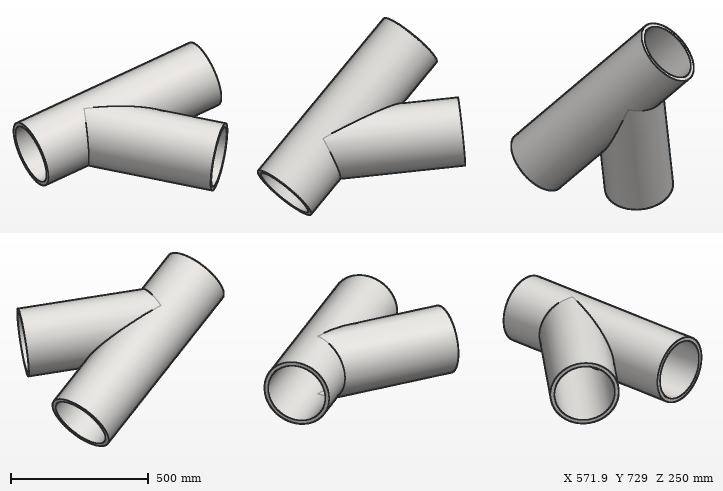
import cadquery as cq

OUTER_DIAMETER = 250.0
WALL = 14.8
INLET_LENGTH = 222.0
OUTLET_LENGTH = 507.0
BRANCH_ANGLE = 45.0

OUTER_RADIUS = OUTER_DIAMETER / 2
BORE_RADIUS = OUTER_RADIUS - WALL


def rod_along_y(radius, start, end):
    """Solid cylinder on the Y axis from y = start to y = end."""
    return cq.Workplane("XZ", origin=(0, start, 0)).circle(radius).extrude(start - end)


def wye(radius):
    """Main cylinder joined with the branch cylinder swung toward +X."""
    main = rod_along_y(radius, -INLET_LENGTH, OUTLET_LENGTH)
    branch = rod_along_y(radius, 0, OUTLET_LENGTH)
    branch = branch.rotate((0, 0, 0), (0, 0, 1), -BRANCH_ANGLE)
    return main.union(branch)


result = wye(OUTER_RADIUS).cut(wye(BORE_RADIUS))